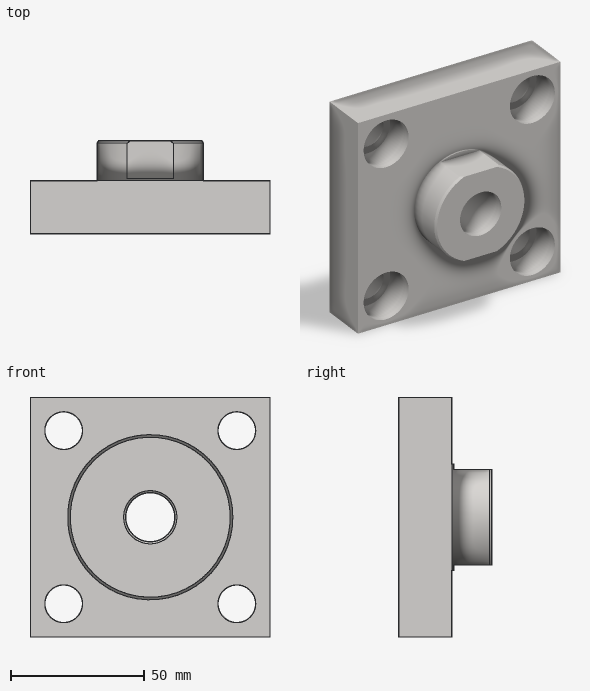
import cadquery as cq
import math

plate_side = 90.0
plate_thickness = 20.0
total_depth = 35.0

bolt_hole_diameter = 14.0
bolt_hole_spacing = 65.0
counterbore_diameter = 20.0
counterbore_floor = 7.0

boss_diameter = 40.0
across_flats = 36.0
flat_start = 0.7
boss_chamfer_length = 1.0
boss_chamfer_angle = 30.0

bore_diameter = 18.4
bore_mouth_diameter = 20.0

center_face_recess = 0.5
groove_outer_diameter = 62.0
groove_inner_diameter = 60.0
groove_depth = 5.0

boss_height = total_depth - plate_thickness
boss_chamfer_inset = boss_chamfer_length * math.tan(math.radians(boss_chamfer_angle))
bore_chamfer = (bore_mouth_diameter - bore_diameter) / 2


def disc(diameter, start, length):
    """Cylinder about the Y axis, running from Y = start towards +Y."""
    return cq.Workplane("XZ", origin=(0, start, 0)).circle(diameter / 2).extrude(-length)


def cone(start_diameter, end_diameter, start, length):
    """Truncated cone about the Y axis, running from Y = start towards +Y."""
    solid = cq.Solid.makeCone(
        start_diameter / 2, end_diameter / 2, length, cq.Vector(0, start, 0), cq.Vector(0, 1, 0)
    )
    return cq.Workplane(obj=solid)


def bolt_pattern(diameter, start):
    """Four cylinders on the bolt centres, from Y = start to the back of the plate."""
    return (
        cq.Workplane("XZ", origin=(0, start, 0))
        .rect(bolt_hole_spacing, bolt_hole_spacing, forConstruction=True)
        .vertices()
        .circle(diameter / 2)
        .extrude(start - plate_thickness)
    )


def make_plate():
    return (
        cq.Workplane("XZ")
        .rect(plate_side, plate_side)
        .extrude(-plate_thickness)
        .cut(bolt_pattern(bolt_hole_diameter, 0))
        .cut(bolt_pattern(counterbore_diameter, counterbore_floor))
    )


def make_boss():
    boss = (
        disc(boss_diameter, plate_thickness, boss_height)
        .faces(">Y")
        .chamfer(boss_chamfer_length, boss_chamfer_inset)
    )
    cut_height = (boss_diameter - across_flats) / 2
    cut_length = boss_height - flat_start
    for side in (1, -1):
        flat_cut = cq.Workplane("XY").box(boss_diameter, cut_length, cut_height).translate(
            (0, total_depth - cut_length / 2, side * (across_flats + cut_height) / 2)
        )
        boss = boss.cut(flat_cut)
    return boss


recess = disc(groove_outer_diameter, 0, center_face_recess)
groove = disc(groove_outer_diameter, 0, groove_depth).cut(disc(groove_inner_diameter, 0, groove_depth))
bore = disc(bore_diameter, 0, total_depth)
bore_mouth = cone(bore_mouth_diameter, bore_diameter, center_face_recess, bore_chamfer)

result = make_plate().union(make_boss()).cut(recess).cut(groove).cut(bore).cut(bore_mouth)